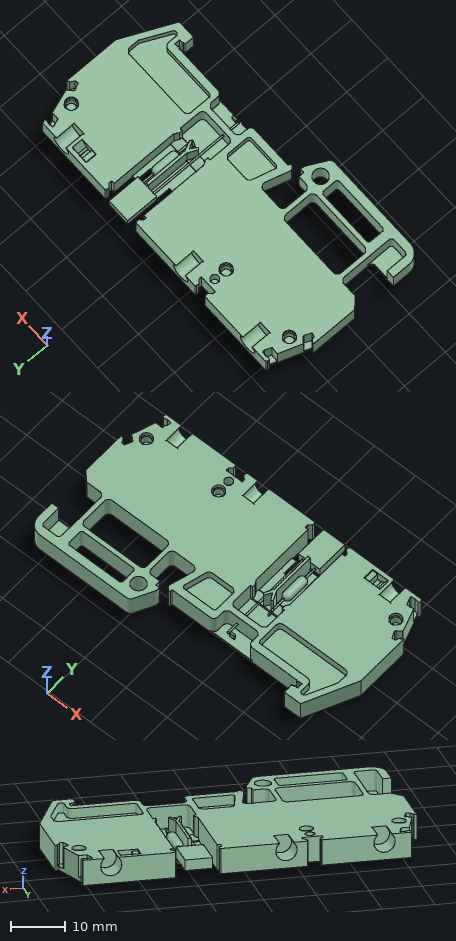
import cadquery as cq
import math

LENGTH = 68.6
HEIGHT = 35.25
THICKNESS = 5.0
RAIL_Y = 6.8
RECESS_TOP = 14.4
CORNER = 1.0
SMALL_CORNER = 0.55

SLOT_X = 43.6
SLOT_HALF = 4.1
SLOT_FLOOR_Y = 28.7
FLOOR = 0.6
RAMP_FOOT_Z = 0.8
SILL_TOP = 1.2
RAMP_FOOT_Y = 19.35
TAPER_Y = 18.5
NECK_TOP_Y = 17.6
NECK_BOTTOM_Y = 16.95
NECK_HALF = 3.6
RIB_TOP_Y = 11.4
RIB_BOTTOM_Y = 10.15

CAP_HALF = 2.6
CAP_TOP_Y = 35.8
CAP_BOTTOM = 1.45
CAP_TOP = 3.6
AXIS_Z = (CAP_BOTTOM + CAP_TOP) / 2
WIRE_RADIUS = 0.2


def rounded_outline(points):
    """Closed wire through (x, y) or (x, y, radius) corners; a radius rounds its corner."""
    corners = []
    count = len(points)
    for i, point in enumerate(points):
        here = cq.Vector(point[0], point[1])
        radius = point[2] if len(point) > 2 else 0
        if radius == 0:
            corners.append((here, None, here))
            continue
        before = cq.Vector(*points[i - 1][:2])
        after = cq.Vector(*points[(i + 1) % count][:2])
        back = (before - here).normalized()
        ahead = (after - here).normalized()
        half_angle = back.getAngle(ahead) / 2
        reach = radius / math.tan(half_angle)
        bisector = (back + ahead).normalized()
        middle = here + bisector * (radius / math.sin(half_angle) - radius)
        corners.append((here + back * reach, middle, here + ahead * reach))

    edges = []
    for i, (start, middle, end) in enumerate(corners):
        if middle is not None:
            edges.append(cq.Edge.makeThreePointArc(start, middle, end))
        edges.append(cq.Edge.makeLine(end, corners[(i + 1) % count][0]))
    return cq.Wire.assembleEdges(edges)


def prism(points, bottom, top):
    """Upright solid with a rounded outline between two Z levels."""
    solid = cq.Solid.extrudeLinear(rounded_outline(points), [], cq.Vector(0, 0, top - bottom))
    return cq.Workplane(solid.translate(cq.Vector(0, 0, bottom)))


def block(x0, x1, y0, y1, bottom, top):
    return cq.Workplane().box(x1 - x0, y1 - y0, top - bottom, centered=False).translate((x0, y0, bottom))


def rectangle(x0, x1, y0, y1, radius):
    return [(x0, y0, radius), (x1, y0, radius), (x1, y1, radius), (x0, y1, radius)]


def mirrored(points):
    """The same points on the other end of the housing."""
    return [(LENGTH - x, y) for x, y in points]


def rod(start, end, radius):
    axis = cq.Vector(*end) - cq.Vector(*start)
    return cq.Workplane(cq.Solid.makeCylinder(radius, axis.Length, cq.Vector(*start), axis))


def ball(center, radius):
    return cq.Workplane().sphere(radius).translate(center)


LIP_CHAMFER = 0.17
UNDERCUT = 0.7
CATCH_BOTTOM_Y = HEIGHT - 2.05


def catch_profile(lip_x, side):
    """Hooked side of a snap notch, from the top edge down; side is the direction into the material."""
    return [
        (lip_x + side * LIP_CHAMFER, HEIGHT),
        (lip_x, HEIGHT - 0.3),
        (lip_x, HEIGHT - 0.8),
        (lip_x + side * UNDERCUT, HEIGHT - 1.45),
        (lip_x + side * UNDERCUT, CATCH_BOTTOM_Y),
    ]


NOTCH_X = 21.55
NOTCH_HALF = 1.25
SLOT_LEFT = SLOT_X - SLOT_HALF
SLOT_RIGHT = SLOT_X + SLOT_HALF

LEFT_SHOULDER = [(0, 26.5), (0.5, 26.2), (0.75, 26.3), (3.5, 34.2), (2.95, 34.65), (3.15, 34.9), (3.15, HEIGHT)]

FOOT_AND_RAIL_HOOK = [
    (0, 0, 2.95), (24.7, 0, 1.25), (27.15, 4.8, 2.05), (27.15, 5.6), (26.3, 5.6), (26.3, RAIL_Y),
    (23.3, RAIL_Y, CORNER), (23.3, 13.45, CORNER), (29.9, 13.45, CORNER),
    (28.1, 7.3), (28.1, 6.9), (28.8, 6.2), (29.2, 6.4), (29.2, RAIL_Y),
]
RIGHT_RAIL_HOOK = [
    (59.6, RAIL_Y), (59.8, 6.4), (60.0, RAIL_Y), (60.8, RAIL_Y), (60.8, 5.6), (60.1, 5.6),
    (59.9, 5.4), (59.5, 5.4), (59.5, 3.3), (63.45, 3.3), (LENGTH, RECESS_TOP),
]
FOOT_WALL = 1.85
WEB_LEFT = 6.05
WEB_RIGHT = 7.1
LEFT_BAY = [
    (0, 16.3), (1.9, RECESS_TOP), (WEB_LEFT, RECESS_TOP, CORNER),
    (WEB_LEFT, RAIL_Y, CORNER), (0, RAIL_Y),
]


def housing_blank():
    outline = FOOT_AND_RAIL_HOOK + RIGHT_RAIL_HOOK + mirrored(LEFT_SHOULDER)
    outline += catch_profile(SLOT_RIGHT, 1) + [
        (SLOT_RIGHT, CATCH_BOTTOM_Y), (SLOT_RIGHT, SLOT_FLOOR_Y),
        (SLOT_LEFT, SLOT_FLOOR_Y), (SLOT_LEFT, CATCH_BOTTOM_Y),
    ]
    outline += catch_profile(SLOT_LEFT, -1)[::-1]
    outline += catch_profile(NOTCH_X + NOTCH_HALF, 1)
    outline += catch_profile(NOTCH_X - NOTCH_HALF, -1)[::-1]
    outline += LEFT_SHOULDER[::-1] + LEFT_BAY
    return prism(outline, 0, THICKNESS)


def windows():
    """Openings right through the housing."""
    upper = prism(rectangle(WEB_RIGHT, 22.3, RAIL_Y, RECESS_TOP, CORNER), 0, THICKNESS)
    lower = prism(rectangle(8.1, 21.1, FOOT_WALL, 5.75, SMALL_CORNER), 0, THICKNESS)
    hole_x = 23.7
    hole_y = 3.8
    round_hole = rod((hole_x, hole_y, 0), (hole_x, hole_y, THICKNESS), 1.6)
    return [upper, lower, round_hole]


POCKET_FLOOR = 3.1
POCKET_BOTTOM_Y = 8.45
FOOT_POCKET_FLOOR = 0.9


def shallow_pockets():
    left = [
        (30.1, POCKET_BOTTOM_Y, SMALL_CORNER), (38.2, POCKET_BOTTOM_Y, SMALL_CORNER),
        (38.2, RECESS_TOP, CORNER), (31.7, RECESS_TOP, CORNER),
    ]
    right = [
        (48.8, POCKET_BOTTOM_Y, SMALL_CORNER), (61.75, POCKET_BOTTOM_Y, CORNER), (61.75, 5.1, SMALL_CORNER),
        (62.8, 5.1, SMALL_CORNER), (65.7, 11.3, CORNER), (65.7, RECESS_TOP, CORNER),
        (48.8, RECESS_TOP, CORNER),
    ]
    foot = [
        (1.7, FOOT_WALL, 0.7), (WEB_LEFT, FOOT_WALL, 0.7), (WEB_LEFT, RAIL_Y + CORNER), (1.7, RAIL_Y + CORNER),
    ]
    return [
        prism(left, POCKET_FLOOR, THICKNESS),
        prism(right, POCKET_FLOOR, THICKNESS),
        prism(foot, FOOT_POCKET_FLOOR, THICKNESS),
    ]


def slot_pockets():
    """Stepped slot for the plug-in parts and the open bay below the rib."""
    pocket = prism(rectangle(SLOT_LEFT, SLOT_RIGHT, RIB_TOP_Y, NECK_BOTTOM_Y, CORNER), FLOOR, THICKNESS)
    square_top = block(SLOT_LEFT, SLOT_RIGHT, NECK_BOTTOM_Y - CORNER, NECK_BOTTOM_Y, FLOOR, THICKNESS)
    neck = block(SLOT_X - NECK_HALF, SLOT_X + NECK_HALF, NECK_BOTTOM_Y, NECK_TOP_Y, SILL_TOP, THICKNESS)
    upper_plan = [
        (SLOT_X - NECK_HALF, NECK_TOP_Y), (SLOT_X + NECK_HALF, NECK_TOP_Y), (SLOT_RIGHT, TAPER_Y),
        (SLOT_RIGHT, SLOT_FLOOR_Y), (SLOT_LEFT, SLOT_FLOOR_Y), (SLOT_LEFT, TAPER_Y),
    ]
    ramp_section = (
        cq.Workplane("YZ", origin=(SLOT_LEFT, 0, 0))
        .polyline([
            (NECK_TOP_Y, SILL_TOP), (RAMP_FOOT_Y, RAMP_FOOT_Z), (RAMP_FOOT_Y, FLOOR), (SLOT_FLOOR_Y, FLOOR),
            (SLOT_FLOOR_Y, THICKNESS), (NECK_TOP_Y, THICKNESS),
        ])
        .close()
        .extrude(2 * SLOT_HALF)
    )
    upper = prism(upper_plan, 0, THICKNESS).intersect(ramp_section)
    margin = 1.4
    bay = [
        (SLOT_LEFT - margin, RAIL_Y - margin), (SLOT_RIGHT + margin, RAIL_Y - margin),
        (SLOT_RIGHT + margin, RAIL_Y), (SLOT_RIGHT, RAIL_Y, CORNER),
        (SLOT_RIGHT, RIB_BOTTOM_Y, CORNER), (SLOT_LEFT, RIB_BOTTOM_Y, CORNER),
        (SLOT_LEFT, RAIL_Y, CORNER), (SLOT_LEFT - margin, RAIL_Y),
    ]
    return [pocket, square_top, neck, upper, prism(bay, FLOOR, THICKNESS)]


def tongue_slits():
    """Two slits that free a springy tongue in the slot floor."""
    offset = 2.6
    half_width = 0.4
    lower_end = 25.2
    slits = []
    for x in (SLOT_X - offset, SLOT_X + offset):
        slits.append(block(x - half_width, x + half_width, lower_end, SLOT_FLOOR_Y, 0, THICKNESS))
    return slits


def wire_entries():
    """Round entries from the top edge, sunk so that they break through the upper face."""
    radius = 2.0
    opening_half = 1.3
    depth = 4.3
    axis_z = THICKNESS - math.sqrt(radius**2 - opening_half**2)
    return [rod((x, HEIGHT - depth, axis_z), (x, HEIGHT, axis_z), radius) for x in (8.3, 26.9, 60.1)]


def test_holes():
    """Stepped blind holes beside the entries and one plain marker hole."""
    hole_y = 28.8
    marker_y = 31.6
    end_offset = 4.0
    depth = 2.75
    ledge_depth = 0.8
    holes = []
    for x in (end_offset, NOTCH_X, LENGTH - end_offset):
        holes.append(rod((x, hole_y, THICKNESS - ledge_depth), (x, hole_y, THICKNESS), 1.3))
        holes.append(rod((x, hole_y, THICKNESS - depth), (x, hole_y, THICKNESS), 1.0))
    holes.append(rod((NOTCH_X, marker_y, THICKNESS - depth), (NOTCH_X, marker_y, THICKNESS), 0.9))
    return holes


def shoulder_recesses():
    """Label catches cut into both slanted shoulders."""
    recess_floor = 0.8
    upper = [(3.1, 34.2), (4.2, 34.5), (5.1, 34.4), (5.1, 33.95), (4.5, 32.6), (2.75, 32.65)]
    lower = [(0.7, 27.65), (1.4, 27.65), (2.3, 26.9), (2.4, 26.55), (1.8, 25.2), (1.1, 25.3), (0.6, 26.3)]
    recesses = []
    for points in (upper, lower):
        recesses.append(prism(points, recess_floor, THICKNESS))
        recesses.append(prism(mirrored(points), recess_floor, THICKNESS))
    return recesses


def latch_window():
    """Small rectangular recess with a ledge at one end and a steep ramp at the other."""
    floor = THICKNESS - 1.8
    pit = floor - 0.4
    ledge = THICKNESS - 0.35
    top_y = 34.3
    width = 2.4
    return (
        cq.Workplane("XZ", origin=(0, top_y, 0))
        .polyline([
            (54.25, THICKNESS), (54.25, ledge), (55.4, ledge), (55.4, pit), (56.45, pit),
            (56.45, floor), (56.95, floor), (58.1, THICKNESS),
        ])
        .close()
        .extrude(width)
    )


def make_cap():
    return block(SLOT_X - CAP_HALF, SLOT_X + CAP_HALF, SLOT_FLOOR_Y, CAP_TOP_Y, CAP_BOTTOM, CAP_TOP)


def make_fork():
    """Upright blade below the cap that ends in two spread legs."""
    half = 0.31
    right_side = [
        (half, SLOT_FLOOR_Y), (half, 19.2), (1.25, 17.2), (0.9, 16.9), (0, 18.3),
    ]
    left_side = [(-x, y) for x, y in reversed(right_side) if x > 0]
    points = [(SLOT_X + x, y) for x, y in right_side + left_side]
    return prism(points, FLOOR, THICKNESS)


RESISTOR_X = 45.1
RESISTOR_RADIUS = 1.0
RESISTOR_TOP_Y = 25.05
RESISTOR_BOTTOM_Y = 20.9
LEAD_END_Y = 16.4
LEAD_TIP_X = 44.05
LEAD_LOWEST_Z = -0.9


def make_resistor():
    """Capsule body with straight leads; the lower lead bends down through the housing floor."""
    top = (RESISTOR_X, RESISTOR_TOP_Y, AXIS_Z)
    bottom = (RESISTOR_X, RESISTOR_BOTTOM_Y, AXIS_Z)
    bend = (RESISTOR_X, LEAD_END_Y, AXIS_Z)
    tilt = math.atan2(RESISTOR_X - LEAD_TIP_X, AXIS_Z - LEAD_LOWEST_Z)
    tip = (LEAD_TIP_X, LEAD_END_Y, LEAD_LOWEST_Z + WIRE_RADIUS * math.sin(tilt))
    body = rod(bottom, top, RESISTOR_RADIUS)
    for end in (top, bottom):
        body = body.union(ball(end, RESISTOR_RADIUS))
    leads = (
        rod(bend, (RESISTOR_X, SLOT_FLOOR_Y, AXIS_Z), WIRE_RADIUS)
        .union(ball(bend, WIRE_RADIUS))
        .union(rod(bend, tip, WIRE_RADIUS))
    )
    return body.union(leads)


WIRE_X = 42.1
FOOT_Y = 7.7


def make_wire():
    """Long wire from the cap through the rib, ending in a small contact plate."""
    start = (WIRE_X, SLOT_FLOOR_Y, AXIS_Z)
    bend = (WIRE_X, FOOT_Y, AXIS_Z)
    plate_x = 42.6
    plate_length = 1.1
    plate_height = 1.2
    plate = cq.Workplane().box(plate_length, 2 * WIRE_RADIUS, plate_height)
    plate = plate.translate((plate_x + plate_length / 2, FOOT_Y, AXIS_Z))
    cross = rod(bend, (plate_x, FOOT_Y, AXIS_Z), WIRE_RADIUS)
    return rod(bend, start, WIRE_RADIUS).union(ball(bend, WIRE_RADIUS)).union(cross).union(plate)


def make_housing():
    housing = housing_blank()
    cuts = windows() + shallow_pockets() + slot_pockets() + tongue_slits() + wire_entries()
    cuts += test_holes() + shoulder_recesses() + [latch_window()]
    for cut in cuts:
        housing = housing.cut(cut)
    return housing


cap = make_cap()
resistor = make_resistor()
wire = make_wire()
housing = make_housing().cut(resistor).cut(wire)
fork = make_fork().cut(housing).cut(resistor)

result = cq.Compound.makeCompound([
    housing.solids().val(),
    cap.solids().val(),
    fork.solids().val(),
    resistor.solids().val(),
    wire.solids().val(),
])